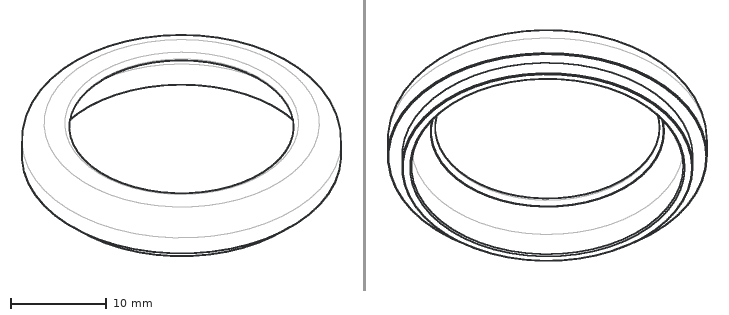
import cadquery as cq
import math

outer_radius = 33.6 / 2
height = 6.0

spigot_radius = 30.6 / 2
spigot_height = 1.5
bore_radius = 28.6 / 2

opening_radius = 23.6 / 2

crown_radius = 2.32
lip_radius = 0.5
underside_radius = 2.1
rim_chamfer = 0.1
bore_chamfer = 0.17

lip_middle = height - lip_radius
lip_bottom = lip_middle - lip_radius
lip_edge_radius = opening_radius + lip_radius
bore_top = lip_bottom - underside_radius

diagonal = math.sqrt(0.5)


def quarter_midpoint(center, radius):
    """Midpoint of the upper outer quarter round about a center."""
    return (center[0] + radius * diagonal, center[1] + radius * diagonal)


crown_center = (outer_radius - crown_radius, height - crown_radius)
underside_center = (bore_radius - underside_radius, bore_top)

profile = (
    cq.Workplane("XZ")
    .moveTo(bore_radius + bore_chamfer, 0)
    .lineTo(spigot_radius - rim_chamfer, 0)
    .lineTo(spigot_radius, rim_chamfer)
    .lineTo(spigot_radius, spigot_height)
    .lineTo(outer_radius - rim_chamfer, spigot_height)
    .lineTo(outer_radius, spigot_height + rim_chamfer)
    .lineTo(outer_radius, crown_center[1])
    .threePointArc(quarter_midpoint(crown_center, crown_radius), (crown_center[0], height))
    .lineTo(lip_edge_radius, height)
    .radiusArc((opening_radius, lip_middle), -lip_radius)
    .radiusArc((lip_edge_radius, lip_bottom), -lip_radius)
    .lineTo(underside_center[0], lip_bottom)
    .threePointArc(quarter_midpoint(underside_center, underside_radius), (bore_radius, bore_top))
    .lineTo(bore_radius, bore_chamfer)
    .close()
)

result = profile.revolve(360, (0, 0, 0), (0, 1, 0), clean=False)